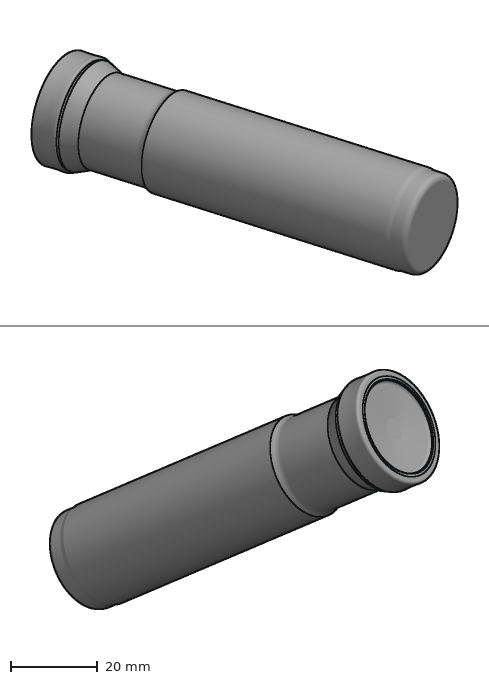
import cadquery as cq
import math

length = 100.0
neck_radius = 23.5 / 2
grip_radius = 25.0 / 2
tail_radius = 24.5 / 2
tail_fillet = 1.5

head_radius = 28.0 / 2
head_front_fillet = 0.7
band_end = 6.1
band_depth = 0.1
head_back_fillet = 0.6
flare_start = 7.4
flare_start_radius = 13.5
flare_end = 11.6

step_start = 27.0
step_middle = 28.5
step_middle_radius = 12.2
step_end = 29.1

tail_taper_start = 94.6
tail_taper_end = 95.8

plug_radius = 24.5 / 2
plug_thickness = 3.0
dish_rim_radius = 11.3
dish_rim_chamfer = 0.25
dish_radius = 10.4
dish_rim_depth = 0.9
dish_center_radius = 2.6
dish_cone_depth = 0.9

diagonal = math.sqrt(0.5)


def revolve_about_x(profile):
    """Revolve a closed (axial, radial) profile about the X axis."""
    return profile.close().revolve(360, (0, 0, 0), (1, 0, 0))


def make_handle():
    """Solid handle with a blind pocket for the plug."""
    front_round_middle = (
        head_front_fillet * (1 - diagonal),
        head_radius - head_front_fillet * (1 - diagonal),
    )
    band_middle = ((head_front_fillet + band_end) / 2, head_radius - band_depth)
    back_round_middle = (
        band_end + head_back_fillet * diagonal,
        head_radius - head_back_fillet * (1 - diagonal),
    )
    tail_round_middle = (
        length - tail_fillet * (1 - diagonal),
        tail_radius - tail_fillet * (1 - diagonal),
    )
    profile = (
        cq.Workplane("XY")
        .moveTo(plug_thickness, 0)
        .lineTo(plug_thickness, plug_radius)
        .lineTo(0, plug_radius)
        .lineTo(0, head_radius - head_front_fillet)
        .threePointArc(front_round_middle, (head_front_fillet, head_radius))
        .threePointArc(band_middle, (band_end, head_radius))
        .threePointArc(
            back_round_middle,
            (band_end + head_back_fillet, head_radius - head_back_fillet),
        )
        .lineTo(flare_start, flare_start_radius)
        .lineTo(flare_end, neck_radius)
        .lineTo(step_start, neck_radius)
        .tangentArcPoint((step_middle, step_middle_radius), relative=False)
        .lineTo(step_end, grip_radius)
        .lineTo(tail_taper_start, grip_radius)
        .lineTo(tail_taper_end, tail_radius)
        .lineTo(length - tail_fillet, tail_radius)
        .threePointArc(tail_round_middle, (length, tail_radius - tail_fillet))
        .lineTo(length, 0)
    )
    return revolve_about_x(profile)


def make_plug():
    """Disc with a flat rim around a rounded, conical dish with a flat center."""
    dish_bottom = dish_rim_depth + dish_cone_depth
    dish_round_middle = (
        dish_rim_chamfer + (dish_rim_depth - dish_rim_chamfer) * diagonal,
        dish_radius + (dish_rim_radius - dish_radius) * diagonal,
    )
    profile = (
        cq.Workplane("XY")
        .moveTo(dish_bottom, 0)
        .lineTo(dish_bottom, dish_center_radius)
        .lineTo(dish_rim_depth, dish_radius)
        .threePointArc(dish_round_middle, (dish_rim_chamfer, dish_rim_radius))
        .lineTo(0, dish_rim_radius + dish_rim_chamfer)
        .lineTo(0, plug_radius)
        .lineTo(plug_thickness, plug_radius)
        .lineTo(plug_thickness, 0)
    )
    return revolve_about_x(profile)


handle = make_handle()
plug = make_plug()

result = cq.Compound.makeCompound([handle.val(), plug.val()])